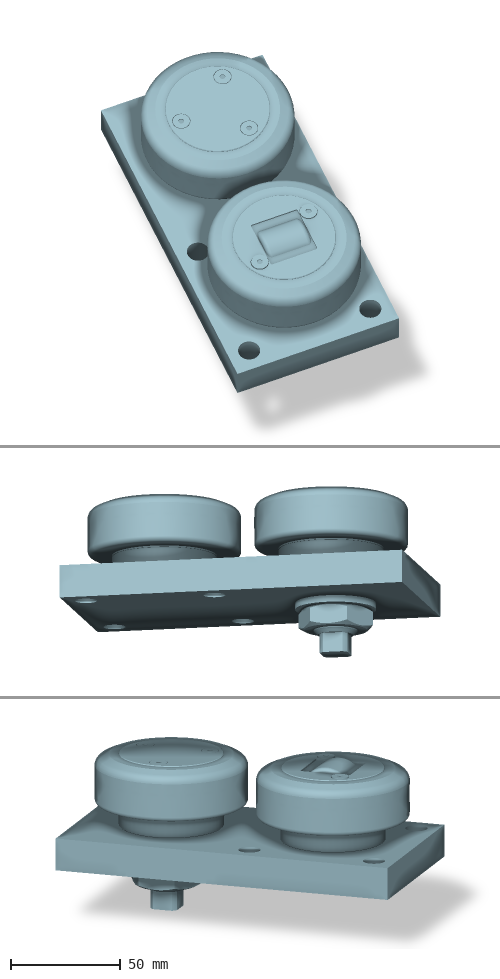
import cadquery as cq
import math

PLATE_LENGTH = 160.0
PLATE_WIDTH = 80.0
PLATE_THICKNESS = 15.0
MOUNT_HOLE_DIAMETER = 10.0
MOUNT_HOLE_PITCH = 60.0

FIXED_ROLLER_X = PLATE_LENGTH / 4
STUD_X = -FIXED_ROLLER_X
STUD_ECCENTRICITY = 2.0
ADJUSTABLE_ROLLER_X = STUD_X + STUD_ECCENTRICITY

NECK_DIAMETER = 48.0
NECK_END_DIAMETER = 47.4
NECK_CHAMFER = (NECK_DIAMETER - NECK_END_DIAMETER) / 2
HUB_HEIGHT = 0.6
RING_DIAMETER = 70.2
RING_CROWN_DROP = 0.08
RING_BOTTOM_Z = 10.5
RING_TOP_Z = 33.6
LOWER_EDGE_RADIUS = 2.0
SHOULDER_BOTTOM_Z = 28.5
SHOULDER_TOP_Z = 32.0
SHOULDER_TOP_DIAMETER = 64.6
RING_FACE_DIAMETER = 57.0
SHOULDER_RADIUS = 4.5

ADJUSTABLE_COVER_DIAMETER = NECK_DIAMETER
FIXED_COVER_DIAMETER = NECK_END_DIAMETER
COVER_CHAMFER = 0.3
COVER_RISE = 0.5
COVER_TOP_Z = RING_TOP_Z + COVER_RISE
SCREW_CIRCLE_DIAMETER = 36.0
SCREW_SEAT_DIAMETER = 8.3
SCREW_HEAD_DIAMETER = 7.8
SCREW_SOCKET_DIAMETER = 2.5
SCREW_SEAT_DEPTH = 1.0
SCREW_SOCKET_DEPTH = 0.5
FLUSH_SCREW_RISE = 0.0
RAISED_SCREW_RISE = 0.5
THREE_SCREW_ANGLES = (30, 150, 270)
TWO_SCREW_ANGLES = (119, 299)

SIDE_ROLLER_DIAMETER = 25.0
SIDE_ROLLER_CROWN_DROP = 0.08
SIDE_ROLLER_LENGTH = 22.0
SIDE_ROLLER_EDGE_RADIUS = 2.0
SIDE_ROLLER_TOP_Z = 36.2
WINDOW_LENGTH = 24.0
WINDOW_WIDTH = 23.0
WINDOW_CORNER_RADIUS = 0.8
WINDOW_DEPTH = 0.8
WINDOW_FLOOR_Z = COVER_TOP_Z - WINDOW_DEPTH

WASHER_DIAMETER = 37.0
WASHER_THICKNESS = 3.0
NUT_ACROSS_FLATS = 30.0
NUT_HEIGHT = 9.6
NUT_FACE_DIAMETER = 28.8
NUT_BEVEL_ANGLE = 30.0
HEXAGON_HALF_SECTOR = 30.0
STUD_DIAMETER = 20.0
STUD_CHAMFER = 1.8
STUD_BOTTOM_Z = -30.0
SQUARE_SIZE = 13.0
SQUARE_CORNER_DIAMETER = 15.8
SQUARE_BOTTOM_Z = -38.9


def cylinder(diameter, x, y, bottom, top):
    return cq.Workplane("XY", origin=(x, y, bottom)).circle(diameter / 2).extrude(top - bottom)


def make_plate():
    plate = cq.Workplane("XY").box(PLATE_LENGTH, PLATE_WIDTH, PLATE_THICKNESS, centered=(True, True, False))
    holes = (
        cq.Workplane("XY")
        .center(FIXED_ROLLER_X, 0)
        .rect(MOUNT_HOLE_PITCH, MOUNT_HOLE_PITCH, forConstruction=True)
        .vertices()
        .circle(MOUNT_HOLE_DIAMETER / 2)
        .extrude(PLATE_THICKNESS)
    )
    return plate.cut(holes).translate((0, 0, -PLATE_THICKNESS))


def make_roller(x, cover_diameter):
    """Chamfered neck, short hub, slightly crowned ring and raised cover, turned about a vertical axis."""
    neck_radius = NECK_DIAMETER / 2
    neck_end_radius = NECK_END_DIAMETER / 2
    neck_top = RING_BOTTOM_Z - HUB_HEIGHT
    crown_radius = RING_DIAMETER / 2
    crown_end_radius = crown_radius - RING_CROWN_DROP
    crown_bottom = RING_BOTTOM_Z + LOWER_EDGE_RADIUS
    crown_middle = (crown_bottom + SHOULDER_BOTTOM_Z) / 2
    cover_radius = cover_diameter / 2
    profile = (
        cq.Workplane("XZ")
        .lineTo(neck_end_radius, 0)
        .lineTo(neck_radius, NECK_CHAMFER)
        .lineTo(neck_radius, neck_top - NECK_CHAMFER)
        .lineTo(neck_end_radius, neck_top)
        .lineTo(neck_radius, neck_top)
        .lineTo(neck_radius, RING_BOTTOM_Z)
        .lineTo(crown_end_radius - LOWER_EDGE_RADIUS, RING_BOTTOM_Z)
        .radiusArc((crown_end_radius, crown_bottom), -LOWER_EDGE_RADIUS)
        .threePointArc((crown_radius, crown_middle), (crown_end_radius, SHOULDER_BOTTOM_Z))
        .radiusArc((SHOULDER_TOP_DIAMETER / 2, SHOULDER_TOP_Z), -SHOULDER_RADIUS)
        .lineTo(RING_FACE_DIAMETER / 2, RING_TOP_Z)
        .lineTo(cover_radius, RING_TOP_Z)
        .lineTo(cover_radius, COVER_TOP_Z - COVER_CHAMFER)
        .lineTo(cover_radius - COVER_CHAMFER, COVER_TOP_Z)
        .lineTo(0, COVER_TOP_Z)
        .close()
    )
    return profile.revolve(360, (0, 0, 0), (0, 1, 0)).translate((x, 0, 0))


def fit_screws(body, x, angles, head_rise):
    """Screw heads with a socket, each standing in a slightly wider seat."""
    seat_bottom = COVER_TOP_Z - SCREW_SEAT_DEPTH
    head_top = COVER_TOP_Z + head_rise
    for angle in angles:
        screw_x = x + SCREW_CIRCLE_DIAMETER / 2 * math.cos(math.radians(angle))
        screw_y = SCREW_CIRCLE_DIAMETER / 2 * math.sin(math.radians(angle))
        seat = cylinder(SCREW_SEAT_DIAMETER, screw_x, screw_y, seat_bottom, COVER_TOP_Z)
        head = cylinder(SCREW_HEAD_DIAMETER, screw_x, screw_y, seat_bottom, head_top)
        socket = cylinder(SCREW_SOCKET_DIAMETER, screw_x, screw_y, head_top - SCREW_SOCKET_DEPTH, head_top)
        body = body.cut(seat).union(head.cut(socket))
    return body


def fit_side_roller(body):
    """Rectangular window with a slightly crowned roller lying along Y, its top standing above the cover."""
    window = (
        cq.Workplane("XY", origin=(FIXED_ROLLER_X, 0, WINDOW_FLOOR_Z))
        .rect(WINDOW_LENGTH, WINDOW_WIDTH)
        .extrude(WINDOW_DEPTH)
        .edges("|Z")
        .fillet(WINDOW_CORNER_RADIUS)
    )
    half_length = SIDE_ROLLER_LENGTH / 2
    crown_radius = SIDE_ROLLER_DIAMETER / 2
    crown_end_radius = crown_radius - SIDE_ROLLER_CROWN_DROP
    side_roller = (
        cq.Workplane("XY")
        .moveTo(0, -half_length)
        .lineTo(crown_end_radius, -half_length)
        .threePointArc((crown_radius, 0), (crown_end_radius, half_length))
        .lineTo(0, half_length)
        .close()
        .revolve(360, (0, 0, 0), (0, 1, 0))
        .edges("%CIRCLE and (<Y or >Y)")
        .fillet(SIDE_ROLLER_EDGE_RADIUS)
        .translate((FIXED_ROLLER_X, 0, SIDE_ROLLER_TOP_Z - crown_radius))
    )
    return body.cut(window).union(side_roller)


def make_nut(top):
    """Hexagon with two flats facing -Y and +Y and both ends bevelled."""
    corner_diameter = NUT_ACROSS_FLATS / math.cos(math.radians(HEXAGON_HALF_SECTOR))
    bevel_width = (corner_diameter - NUT_FACE_DIAMETER) / 2
    bevel_height = bevel_width * math.tan(math.radians(NUT_BEVEL_ANGLE))
    bottom = top - NUT_HEIGHT
    hexagon = cq.Workplane("XY", origin=(STUD_X, 0, bottom)).polygon(6, corner_diameter).extrude(NUT_HEIGHT)
    bevelled = cylinder(corner_diameter, STUD_X, 0, bottom, top).edges().chamfer(bevel_height, bevel_width)
    return hexagon.intersect(bevelled)


def make_stud():
    washer_bottom = -PLATE_THICKNESS - WASHER_THICKNESS
    washer = cylinder(WASHER_DIAMETER, STUD_X, 0, washer_bottom, -PLATE_THICKNESS)
    stud = cylinder(STUD_DIAMETER, STUD_X, 0, STUD_BOTTOM_Z, -PLATE_THICKNESS)
    stud = stud.faces("<Z").chamfer(STUD_CHAMFER)
    square = (
        cq.Workplane("XY", origin=(STUD_X, 0, SQUARE_BOTTOM_Z))
        .rect(SQUARE_SIZE, SQUARE_SIZE)
        .extrude(STUD_BOTTOM_Z - SQUARE_BOTTOM_Z)
        .intersect(cylinder(SQUARE_CORNER_DIAMETER, STUD_X, 0, SQUARE_BOTTOM_Z, STUD_BOTTOM_Z))
    )
    return washer.union(make_nut(washer_bottom)).union(stud).union(square)


adjustable_roller = make_roller(ADJUSTABLE_ROLLER_X, ADJUSTABLE_COVER_DIAMETER)
adjustable_roller = fit_screws(adjustable_roller, ADJUSTABLE_ROLLER_X, THREE_SCREW_ANGLES, FLUSH_SCREW_RISE)

fixed_roller = make_roller(FIXED_ROLLER_X, FIXED_COVER_DIAMETER)
fixed_roller = fit_screws(fixed_roller, FIXED_ROLLER_X, TWO_SCREW_ANGLES, RAISED_SCREW_RISE)
fixed_roller = fit_side_roller(fixed_roller)

result = make_plate().union(adjustable_roller).union(fixed_roller).union(make_stud())